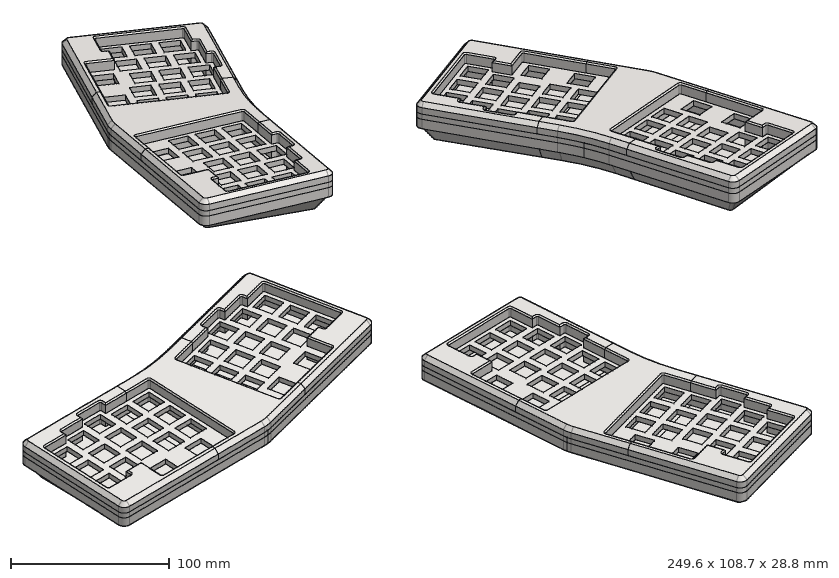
import cadquery as cq
import math

half_angle = 7
half_length = 126.3
half_depth = 94.8
corner_radius = 5.0
front_bend_radius = 25.0
back_bend_radius = 149.7

shell_height = 6.7
plate_height = 3.7
bezel_height = 7.5
edge_chamfer = 3.0
plate_z = shell_height
bezel_z = plate_z + plate_height

seam_across = -43.7
cutter_size = 399.3

foot_inset = 2.5
foot_corner_radius = corner_radius - foot_inset
foot_draft = 30
foot_tilt = 5
foot_front_drop = 2.2
foot_blank_height = 15.0

key_pitch = 19.05
key_hole = 14.0
row_count = 3
first_column_across = -109.93
first_column_along = 30.7
stagger = key_pitch / 4
column_shifts = [0, stagger, 2 * stagger, stagger, stagger]
column_places = [
    (first_column_across + column * key_pitch, first_column_along + shift)
    for column, shift in enumerate(column_shifts)
]
thumb_along = first_column_along + stagger - key_pitch
outer_thumb_across = first_column_across + (2 - 1 / 8) * key_pitch
inner_thumb_across = first_column_across + 3.5 * key_pitch
outer_thumb_width = 1.25 * key_pitch

key_clearance = 0.5
opening_radius = 1.0
opening_chamfer = 1.0


def case_outline(inset, end_radius):
    """Sketch of the case outline, moved inwards by inset; a zero end_radius leaves the ends sharp."""
    turn = math.radians(half_angle)
    left = inset - half_length
    front = inset
    back = half_depth - inset

    def turned(across, along):
        x = across * math.cos(turn) + along * math.sin(turn)
        y = along * math.cos(turn) - across * math.sin(turn)
        return (x, y)

    left_ends = [turned(left, back), turned(left, front)]
    right_ends = [(-x, y) for x, y in reversed(left_ends)]
    front_bend = (0, front / math.cos(turn))
    back_bend = (0, back / math.cos(turn))
    corners = [*left_ends, front_bend, *right_ends, back_bend]

    outline = cq.Sketch().polygon([*corners, corners[0]])
    radii = [(front_bend, front_bend_radius - inset), (back_bend, back_bend_radius + inset)]
    if end_radius > 0:
        radii += [(end, end_radius) for end in left_ends + right_ends]
    for (x, y), radius in radii:
        outline = outline.vertices(cq.NearestToPointSelector((x, y, 0))).fillet(radius).reset()
    return outline


def case_slab(bottom, height):
    outline = case_outline(0, corner_radius)
    return cq.Workplane("XY").workplane(offset=bottom).placeSketch(outline).extrude(height)


def turned_to_left_half(body):
    """Moves a body drawn in across and along into the left half of the case."""
    return body.rotate((0, 0, 0), (0, 0, 1), -half_angle)


def mirrored(body):
    return body.mirror("YZ")


def left_half(body):
    """Keeps what lies left of x = 0."""
    right_space = cq.Workplane("XY").box(cutter_size, cutter_size, cutter_size, centered=(False, True, True))
    return body.cut(right_space)


def split_at_seams(body):
    """Cuts a body into its left, middle and right pieces."""
    outer_box = cq.Workplane("XY").box(cutter_size, cutter_size, cutter_size)
    outer_space = turned_to_left_half(outer_box.translate((seam_across - cutter_size / 2, 0, 0)))
    left = body.intersect(outer_space)
    middle = body.cut(outer_space).cut(mirrored(outer_space))
    return [left, middle, mirrored(left)]


def key_opening(bottom, height):
    """Stepped block that fills the keycap opening of the left half."""
    reach = key_pitch / 2 + key_clearance
    column_across = [across for across, along in column_places]
    column_back = [along + (row_count - 1) * key_pitch + reach for across, along in column_places]
    column_front = [along - reach for across, along in column_places]
    left = column_across[0] - reach
    right = column_across[4] + reach
    second_left = column_across[1] - reach
    third_left = column_across[2] - reach
    third_right = column_across[2] + reach
    first_right = column_across[0] + reach
    thumb_left = outer_thumb_across - outer_thumb_width / 2 - key_clearance
    thumb_front = thumb_along - reach

    rounded = [
        (left, column_front[0]),
        (left, column_back[0]),
        (second_left, column_back[1]),
        (third_left, column_back[2]),
        (third_right, column_back[2]),
        (right, column_back[4]),
        (right, thumb_front),
        (thumb_left, thumb_front),
        (first_right, column_front[0]),
    ]
    corners = [
        *rounded[0:2],
        (second_left, column_back[0]),
        rounded[2],
        (third_left, column_back[1]),
        *rounded[3:5],
        (third_right, column_back[3]),
        *rounded[5:8],
        (thumb_left, column_front[1]),
        (first_right, column_front[1]),
        rounded[8],
    ]
    outline = cq.Sketch().polygon([*corners, corners[0]])
    for across, along in rounded:
        corner = cq.NearestToPointSelector((across, along, 0))
        outline = outline.vertices(corner).fillet(opening_radius).reset()
    block = cq.Workplane("XY").workplane(offset=bottom).placeSketch(outline).extrude(height)
    return turned_to_left_half(block)


def make_foot_pieces():
    """Drafted foot with a tilted bottom, deepest at the back."""
    outline = case_outline(foot_inset, 0)
    blank = cq.Workplane("XY").placeSketch(outline).extrude(-foot_blank_height, taper=foot_draft)
    end_edges = blank.edges("not #Z").filter(lambda edge: abs(edge.Center().x) > half_length / 2)
    blank = end_edges.fillet(foot_corner_radius)
    below = cq.Workplane("XY").box(cutter_size, cutter_size, cutter_size)
    below = below.translate((0, 0, -cutter_size / 2))
    below = below.rotate((0, 0, 0), (1, 0, 0), -foot_tilt).translate((0, 0, -foot_front_drop))
    return split_at_seams(blank.cut(below))


def make_shell_halves():
    """Walls under the plate, open below the keys."""
    left = left_half(case_slab(0, shell_height)).cut(key_opening(0, shell_height))
    return [left, mirrored(left)]


def make_plate_halves():
    """Plate with a square hole under every key."""
    places = [(outer_thumb_across, thumb_along), (inner_thumb_across, thumb_along)]
    for across, along in column_places:
        for row in range(row_count):
            places.append((across, along + row * key_pitch))
    holes = cq.Workplane("XY").workplane(offset=plate_z).pushPoints(places)
    holes = holes.rect(key_hole, key_hole).extrude(plate_height)
    left = left_half(case_slab(plate_z, plate_height)).cut(turned_to_left_half(holes))
    return [left, mirrored(left)]


def make_bezel_pieces():
    """Frame around the keycaps, chamfered outside and around both openings."""
    bezel = case_slab(bezel_z, bezel_height).faces(">Z").edges().chamfer(edge_chamfer)
    opening = key_opening(bezel_z, bezel_height)
    bezel = bezel.cut(opening).cut(mirrored(opening))
    rims = bezel.faces(">Z").val().innerWires()
    rim_edges = [edge for rim in rims for edge in rim.Edges()]
    bezel = bezel.newObject(rim_edges).chamfer(opening_chamfer)
    return split_at_seams(bezel)


foot_pieces = make_foot_pieces()
shell_halves = make_shell_halves()
plate_halves = make_plate_halves()
bezel_pieces = make_bezel_pieces()

bodies = foot_pieces + shell_halves + plate_halves + bezel_pieces
result = cq.Compound.makeCompound([body.solids().val() for body in bodies])